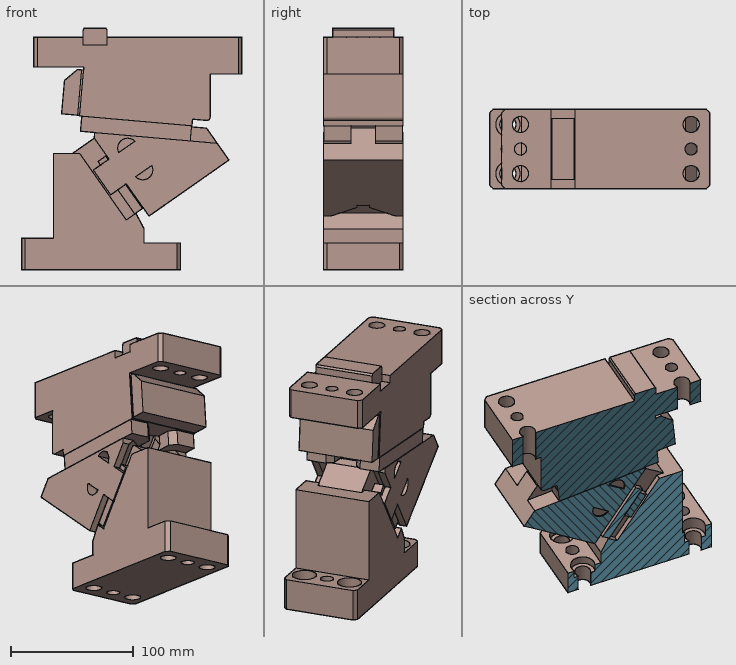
import cadquery as cq
import math

WIDTH = 65.0
HALF_WIDTH = WIDTH / 2
CORNER_CHAMFER = 3.0
HOLE_SPACING = 40.0
BOLT_HOLE_DIAMETER = 13.0

GUIDE_ANGLE = math.radians(55)
CREST_X = 47.4
CREST_Z = 95.2

CAM_ANGLE = math.radians(5)
CAM_X = 48.0
CAM_Z = 113.2

BASE_LENGTH = 129.8
LEFT_FOOT_HEIGHT = 26.0
RIGHT_FOOT_HEIGHT = 22.1
COLUMN_LEFT = 26.0
COLUMN_RIGHT = 100.1
COLUMN_RIGHT_TOP = 33.5
BASE_HOLE_INSET = 15.0
COUNTERBORE_DIAMETER = 19.8
COUNTERBORE_FLOOR = 15.0
BASE_PIN_DIAMETER = 10.7
LIP_ALONG = 66.4
LIP_HEIGHT = 9.7

LAND_HEIGHT = 17.0
RAIL_START = -3.4
RAIL_HALF_WIDTH = 19.4
RAIL_TOP_HALF_WIDTH = 10.5
RAIL_BEVEL_LENGTH = 3.4
RAIL_BEVEL_BOTTOM = 18.4
RAIL_ROOT_DEPTH = 9.9
FLANGE_START = 14.0
FLANGE_HALF_WIDTH = 27.5
FLANGE_BOTTOM = 8.5
FLANGE_TOP = 16.2
VEE_SLOPE = math.tan(math.radians(30))
VEE_HALF_WIDTH = 26.5
RELIEF_HALF_WIDTH = 5.1
RELIEF_TOP = LAND_HEIGHT + 15.2

SLIDER_END = 74.5
SLIDER_OUT = 96.8
SLIDER_TIP = -3.5
SHELF_START = 11.7
CROWN_START = 16.8
CROWN_HEIGHT = 11.7
GIB_START = 17.5
GIB_END = 42.3
GIB_BOTTOM = 1.4
POCKET_RADIUS = 8.0
POCKET_DEPTH = 9.9
POCKET_SPACING = 21.7
POCKET_FLAT_OFFSET = 1.2
POCKET_ALONG = 29.8
POCKET_OUT = 34.5

HOLDER_LEFT = 9.9
HOLDER_RIGHT = 180.0
HOLDER_TOP = 190.0
LEFT_FLANGE_BOTTOM = 165.5
RIGHT_FLANGE_BOTTOM = 160.0
BLOCK_RIGHT = 154.0
BLOCK_START = -1.8
BLOCK_BOTTOM = 12.5
BLOCK_STEP_ALONG = 90.5
BLOCK_STEP_UP = 17.8
BLOCK_FILLET = 3.0
STRIP_LENGTH = 90.0
STRIP_GAP = 19.8
STRIP_CHAMFER = 5.3
SIDE_INSET = 0.4
STOP_LEFT = -16.5
STOP_RIGHT = -3.4
STOP_BOTTOM = 12.8
STOP_TOP = 50.2
STOP_CHAMFER = 9.9
HOLDER_HOLE_INSET = 15.5
HOLDER_PIN_DIAMETER = 9.9
KEY_LEFT = 50.2
KEY_WIDTH = 19.8
KEYWAY_DEPTH = 6.3
KEY_TOP = 197.5
KEY_LENGTH = 50.2
KEY_BEVEL_WIDTH = 1.0
KEY_BEVEL_HEIGHT = 1.8


def guide_point(along, out):
    """X and Z of a point given along and out from the inclined base face."""
    x = CREST_X + along * math.cos(GUIDE_ANGLE) + out * math.sin(GUIDE_ANGLE)
    z = CREST_Z - along * math.sin(GUIDE_ANGLE) + out * math.cos(GUIDE_ANGLE)
    return (x, z)


def cam_point(along, up):
    """X and Z of a point given in the 5 degree cam frame."""
    x = CAM_X + along * math.cos(CAM_ANGLE) + up * math.sin(CAM_ANGLE)
    z = CAM_Z - along * math.sin(CAM_ANGLE) + up * math.cos(CAM_ANGLE)
    return (x, z)


def far_face_point(up):
    """Point on the far face of the slider at a height above the cam frame's base line."""
    corner_x, corner_z = guide_point(0, SLIDER_OUT)
    corner_up = (corner_x - CAM_X) * math.sin(CAM_ANGLE) + (corner_z - CAM_Z) * math.cos(CAM_ANGLE)
    along = (corner_up - up) / math.sin(GUIDE_ANGLE - CAM_ANGLE)
    return guide_point(along, SLIDER_OUT)


def plate(points, half_width=HALF_WIDTH):
    """Outline in X and Z, extruded to both sides of the middle plane."""
    return cq.Workplane("XZ").polyline(points).close().extrude(half_width, both=True)


def side_plate(points, inner, outer):
    """Outline in X and Z, extruded between two Y positions."""
    return cq.Workplane("XZ", origin=(0, outer, 0)).polyline(points).close().extrude(outer - inner)


def guide_box(start, end, bottom, top):
    """Corners of a rectangle lying square to the guide."""
    return [
        guide_point(start, bottom),
        guide_point(end, bottom),
        guide_point(end, top),
        guide_point(start, top),
    ]


def guide_section(section, start, end):
    """Section in Y and out, swept along the guide between two positions."""
    x, z = guide_point(start, 0)
    down_guide = (math.cos(GUIDE_ANGLE), 0, -math.sin(GUIDE_ANGLE))
    frame = cq.Plane(origin=(x, 0, z), xDir=(0, 1, 0), normal=down_guide)
    return cq.Workplane(frame).polyline(section).close().extrude(end - start)


def vee_height(y):
    """Height of the vee flank above the inclined base face."""
    return LAND_HEIGHT + (VEE_HALF_WIDTH - y) * VEE_SLOPE


def mirrored(half_section):
    """Complete a section given for positive Y, from the bottom up."""
    return half_section + [(-y, out) for y, out in reversed(half_section)]


def vertical_hole(x, y, diameter, bottom, top):
    return cq.Workplane("XY", origin=(x, y, bottom)).circle(diameter / 2).extrude(top - bottom)


def guide_rail():
    core = guide_section(
        mirrored([
            (RAIL_HALF_WIDTH, -RAIL_ROOT_DEPTH),
            (RAIL_HALF_WIDTH, vee_height(RAIL_HALF_WIDTH)),
            (RAIL_TOP_HALF_WIDTH, vee_height(RAIL_TOP_HALF_WIDTH)),
        ]),
        RAIL_START,
        LIP_ALONG,
    )
    flanges = guide_section(
        mirrored([
            (FLANGE_HALF_WIDTH, FLANGE_BOTTOM),
            (FLANGE_HALF_WIDTH, FLANGE_TOP),
        ]),
        FLANGE_START,
        LIP_ALONG,
    )
    rail_top = vee_height(RAIL_TOP_HALF_WIDTH)
    bevel = plate([
        guide_point(RAIL_START, RAIL_BEVEL_BOTTOM),
        guide_point(RAIL_START + RAIL_BEVEL_LENGTH, rail_top),
        guide_point(RAIL_START, rail_top),
    ])
    return core.cut(bevel).union(flanges)


def make_base():
    body = plate([
        (0, 0),
        (BASE_LENGTH, 0),
        (BASE_LENGTH, RIGHT_FOOT_HEIGHT),
        (COLUMN_RIGHT, RIGHT_FOOT_HEIGHT),
        (COLUMN_RIGHT, COLUMN_RIGHT_TOP),
        guide_point(LIP_ALONG, LIP_HEIGHT),
        guide_point(LIP_ALONG, 0),
        (CREST_X, CREST_Z),
        (COLUMN_LEFT, CREST_Z),
        (COLUMN_LEFT, LEFT_FOOT_HEIGHT),
        (0, LEFT_FOOT_HEIGHT),
    ])
    body = body.edges("|Z and (<X or >X)").chamfer(CORNER_CHAMFER)
    body = body.union(guide_rail())
    rows = [(BASE_HOLE_INSET, LEFT_FOOT_HEIGHT), (BASE_LENGTH - BASE_HOLE_INSET, RIGHT_FOOT_HEIGHT)]
    for x, foot_top in rows:
        body = body.cut(vertical_hole(x, 0, BASE_PIN_DIAMETER, 0, foot_top))
        for y in (-HOLE_SPACING / 2, HOLE_SPACING / 2):
            body = body.cut(vertical_hole(x, y, BOLT_HOLE_DIAMETER, 0, foot_top))
            body = body.cut(vertical_hole(x, y, COUNTERBORE_DIAMETER, COUNTERBORE_FLOOR, foot_top))
    return body


def vee_groove():
    return guide_section(
        mirrored([
            (VEE_HALF_WIDTH, LAND_HEIGHT),
            (RELIEF_HALF_WIDTH, vee_height(RELIEF_HALF_WIDTH)),
            (RELIEF_HALF_WIDTH, RELIEF_TOP),
        ]),
        -SLIDER_END,
        SLIDER_END,
    )


def gibs():
    """Pads on both sides of the slider that hook under the rail flanges."""
    pad = guide_box(GIB_START, GIB_END, GIB_BOTTOM, LAND_HEIGHT)
    hook = guide_box(GIB_START, GIB_END, GIB_BOTTOM, FLANGE_BOTTOM)
    one_side = side_plate(pad, FLANGE_HALF_WIDTH, HALF_WIDTH)
    one_side = one_side.union(side_plate(hook, RAIL_HALF_WIDTH, HALF_WIDTH))
    return one_side.union(one_side.mirror("XZ"))


def side_pockets():
    """Rounded pockets in both sides, each flat towards the other one of its pair."""
    half_flat = math.sqrt(POCKET_RADIUS**2 - POCKET_FLAT_OFFSET**2)
    pockets = cq.Workplane("XZ")
    for direction in (-1, 1):
        centre = POCKET_ALONG + direction * POCKET_SPACING / 2
        flat = centre + direction * POCKET_FLAT_OFFSET
        start = guide_point(flat, POCKET_OUT - half_flat)
        arc_middle = guide_point(centre + direction * POCKET_RADIUS, POCKET_OUT)
        end = guide_point(flat, POCKET_OUT + half_flat)
        pocket = cq.Workplane("XZ", origin=(0, HALF_WIDTH, 0)).moveTo(*start)
        pocket = pocket.threePointArc(arc_middle, end).close().extrude(POCKET_DEPTH)
        pockets = pockets.add(pocket).add(pocket.mirror("XZ"))
    return pockets.combine()


def make_slider():
    body = plate([
        guide_point(SLIDER_TIP, LAND_HEIGHT),
        guide_point(SLIDER_END, LAND_HEIGHT),
        guide_point(SLIDER_END, SLIDER_OUT),
        far_face_point(0),
        cam_point(SHELF_START, 0),
    ])
    crown = plate(
        [
            cam_point(CROWN_START, 0),
            far_face_point(0),
            far_face_point(CROWN_HEIGHT),
            cam_point(CROWN_START, CROWN_HEIGHT),
        ],
        STRIP_GAP / 2,
    )
    body = body.union(crown).cut(vee_groove())
    return body.union(gibs()).cut(side_pockets())


def holder_block():
    shoulder_x, shoulder_z = cam_point(BLOCK_START, STOP_TOP)
    step_reach = (BLOCK_RIGHT - CAM_X - BLOCK_STEP_UP * math.sin(CAM_ANGLE)) / math.cos(CAM_ANGLE)
    block = plate([
        (HOLDER_LEFT, LEFT_FLANGE_BOTTOM),
        (HOLDER_LEFT, HOLDER_TOP),
        (HOLDER_RIGHT, HOLDER_TOP),
        (HOLDER_RIGHT, RIGHT_FLANGE_BOTTOM),
        (BLOCK_RIGHT, RIGHT_FLANGE_BOTTOM),
        cam_point(step_reach, BLOCK_STEP_UP),
        cam_point(BLOCK_STEP_ALONG, BLOCK_STEP_UP),
        cam_point(BLOCK_STEP_ALONG, BLOCK_BOTTOM),
        cam_point(BLOCK_START, BLOCK_BOTTOM),
        (shoulder_x, shoulder_z),
        (shoulder_x, LEFT_FLANGE_BOTTOM),
    ])
    block = block.edges("|Z and (<X or >X)").chamfer(CORNER_CHAMFER)
    corner = cq.selectors.NearestToPointSelector((BLOCK_RIGHT, 0, cam_point(step_reach, BLOCK_STEP_UP)[1]))
    return block.edges(corner).fillet(BLOCK_FILLET)


def wear_strips():
    """Two strips under the block, beside the slider crown, with a lead-in at the left end."""
    outline = [cam_point(0, 0), cam_point(STRIP_LENGTH, 0)]
    outline += [cam_point(STRIP_LENGTH, BLOCK_BOTTOM), cam_point(0, BLOCK_BOTTOM)]
    strip = side_plate(outline, STRIP_GAP / 2, HALF_WIDTH - SIDE_INSET)
    x, z = cam_point(0, 0)
    along_strip = (math.cos(CAM_ANGLE), 0, -math.sin(CAM_ANGLE))
    up_strip = (math.sin(CAM_ANGLE), 0, math.cos(CAM_ANGLE))
    inner = STRIP_GAP / 2
    lead_in = (
        cq.Workplane(cq.Plane(origin=(x, 0, z), xDir=along_strip, normal=up_strip))
        .polyline([(0, inner), (STRIP_CHAMFER, inner), (0, inner + STRIP_CHAMFER)])
        .close()
        .extrude(BLOCK_BOTTOM)
    )
    strip = strip.cut(lead_in)
    return strip.union(strip.mirror("XZ"))


def stop_plate():
    face = plate([
        cam_point(STOP_LEFT, STOP_BOTTOM),
        cam_point(STOP_RIGHT, STOP_BOTTOM),
        cam_point(STOP_RIGHT, STOP_TOP),
        cam_point(STOP_LEFT + STOP_CHAMFER, STOP_TOP),
        cam_point(STOP_LEFT, STOP_TOP - STOP_CHAMFER),
    ])
    spacer = plate(
        [
            cam_point(STOP_RIGHT, STOP_BOTTOM),
            cam_point(BLOCK_START, STOP_BOTTOM),
            cam_point(BLOCK_START, STOP_TOP),
            cam_point(STOP_RIGHT, STOP_TOP),
        ],
        HALF_WIDTH - SIDE_INSET,
    )
    return face.union(spacer)


def key():
    left = KEY_LEFT
    right = KEY_LEFT + KEY_WIDTH
    bevel_start = KEY_TOP - KEY_BEVEL_HEIGHT
    return plate(
        [
            (left, HOLDER_TOP - KEYWAY_DEPTH),
            (right, HOLDER_TOP - KEYWAY_DEPTH),
            (right, bevel_start),
            (right - KEY_BEVEL_WIDTH, KEY_TOP),
            (left + KEY_BEVEL_WIDTH, KEY_TOP),
            (left, bevel_start),
        ],
        KEY_LENGTH / 2,
    )


def make_holder():
    keyway = cq.Workplane("XY", origin=(KEY_LEFT + KEY_WIDTH / 2, 0, HOLDER_TOP))
    keyway = keyway.rect(KEY_WIDTH, WIDTH).extrude(-KEYWAY_DEPTH)
    body = holder_block().cut(keyway).union(key())
    body = body.union(wear_strips()).union(stop_plate())
    rows = [
        (HOLDER_LEFT + HOLDER_HOLE_INSET, LEFT_FLANGE_BOTTOM),
        (HOLDER_RIGHT - HOLDER_HOLE_INSET, RIGHT_FLANGE_BOTTOM),
    ]
    for x, flange_bottom in rows:
        body = body.cut(vertical_hole(x, 0, HOLDER_PIN_DIAMETER, flange_bottom, HOLDER_TOP))
        for y in (-HOLE_SPACING / 2, HOLE_SPACING / 2):
            body = body.cut(vertical_hole(x, y, BOLT_HOLE_DIAMETER, flange_bottom, HOLDER_TOP))
    return body


base = make_base().solids()
slider = make_slider().solids()
holder = make_holder().solids()

result = cq.Compound.makeCompound([base.val(), slider.val(), holder.val()])